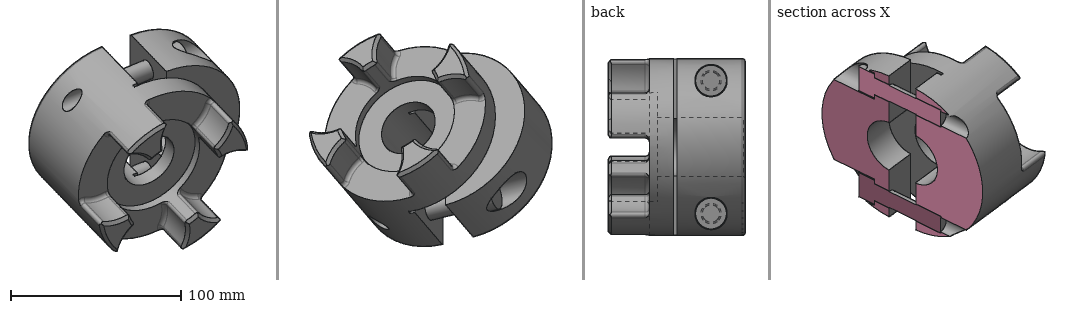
import cadquery as cq

outer_radius = 52.0
total_length = 80.5
total_width = 122.0
bore_radius = 17.3
bore_chamfer = 1.0
rim_fillet = 1.8

cap_length = 40.3
cap_lift = total_width - 2 * outer_radius
split_half_gap = 1.0
relief_width = 1.8
relief_depth = 3.0
disc_start = cap_length + relief_width

jaw_count = 4
jaw_base_x = 56.4
first_jaw_angle = 22.5
jaw_inner_radius = 32.0
recess_depth = 4.9
pocket_radius = 23.8
pocket_pitch_radius = 40.4
jaw_side_fillet = 2.0
jaw_tip_chamfer = 2.0
jaw_root_fillet = 2.5

screw_x = cap_length / 2
screw_z = 39.0
screw_heights = (-screw_z, screw_z)
shank_radius = 6.0
tip_hole_radius = 5.1
head_radius = 9.0
head_height = 2 * shank_radius
head_top_y = 42.1
head_base_y = head_top_y - head_height
screw_tip_y = -20.0
counterbore_radius = 9.5


def along_x(radius, start, end):
    """Cylinder on the bore axis, along X."""
    return cq.Workplane("YZ", origin=(start, 0, 0)).circle(radius).extrude(end - start)


def along_y(radius, start, end, z):
    """Cylinder along Y on a screw axis."""
    return cq.Workplane("XZ", origin=(screw_x, start, z)).circle(radius).extrude(start - end)


def block(x_range, y_range):
    """Box between two X and two Y limits that spans the whole height."""
    length = x_range[1] - x_range[0]
    width = y_range[1] - y_range[0]
    height = 2 * outer_radius
    box = cq.Workplane("XY").box(length, width, height, centered=(False, False, True))
    return box.translate((x_range[0], y_range[0], 0))


def bored_round(length):
    """Round bar along X with a rounded, bored and chamfered left end."""
    body = along_x(outer_radius, 0, length).faces("<X").edges().fillet(rim_fillet)
    body = body.cut(along_x(bore_radius, 0, length))
    return body.faces("<X").edges(cq.selectors.RadiusNthSelector(0)).chamfer(bore_chamfer)


def make_jaws():
    """Ring of jaws with hollow sides: mitred bevels at the tips, and side edges rounded along X."""
    ring = along_x(outer_radius, jaw_base_x, total_length).cut(
        along_x(jaw_inner_radius, jaw_base_x, total_length)
    )
    pockets = (
        cq.Workplane("YZ", origin=(jaw_base_x, 0, 0))
        .polarArray(pocket_pitch_radius, first_jaw_angle + 180 / jaw_count, 360, jaw_count)
        .circle(pocket_radius)
        .extrude(total_length - jaw_base_x)
    )
    jaws = ring.cut(pockets)
    bevelled = jaws.faces(">X").edges().chamfer(jaw_tip_chamfer)
    return bevelled.edges("|X").fillet(jaw_side_fillet)


def make_jaw_end():
    """Jaws on a flat floor ring, with root fillets trimmed by the outer and inner cylinders."""
    floor = along_x(2 * outer_radius, jaw_base_x - recess_depth, jaw_base_x)
    body = floor.union(make_jaws())
    floor_face = body.faces("<X[1]")
    jaw_outlines = [edge for wire in floor_face.val().innerWires() for edge in wire.Edges()]
    body = body.newObject(jaw_outlines).fillet(jaw_root_fillet)
    body = body.intersect(along_x(outer_radius, 0, total_length))
    return body.cut(along_x(jaw_inner_radius, 0, total_length))


def make_hub():
    """Jawed hub: half of the clamp, a relief slot beside the split, and stepped screw holes."""
    recess_x = jaw_base_x - recess_depth
    body = bored_round(jaw_base_x).cut(along_x(jaw_inner_radius, recess_x, jaw_base_x))
    body = body.union(make_jaw_end())
    body = body.cut(block((0, disc_start), (-split_half_gap, outer_radius)))
    body = body.cut(block((cap_length, disc_start), (-split_half_gap - relief_depth, 0)))
    for z in screw_heights:
        body = body.cut(along_y(shank_radius, 0, screw_tip_y, z))
        body = body.cut(along_y(tip_hole_radius, 0, -outer_radius, z))
    return body


def make_cap():
    """Clamp cap: the other half of the bored bar, with clearance holes and counterbores."""
    body = bored_round(cap_length).cut(block((0, cap_length), (-outer_radius, split_half_gap)))
    body = body.translate((0, cap_lift, 0))
    for z in screw_heights:
        body = body.cut(along_y(shank_radius, head_base_y, 0, z))
        body = body.cut(along_y(counterbore_radius, cap_lift + outer_radius, head_base_y, z))
    return body


def make_screw(z):
    """Cap screw along Y with its head in the cap and its shank in the hub."""
    head = along_y(head_radius, head_top_y, head_base_y, z)
    return head.union(along_y(shank_radius, head_base_y, screw_tip_y, z))


hub = make_hub()
cap = make_cap()
screws = [make_screw(z) for z in screw_heights]

result = cq.Compound.makeCompound([hub.val(), cap.val(), *[screw.val() for screw in screws]])